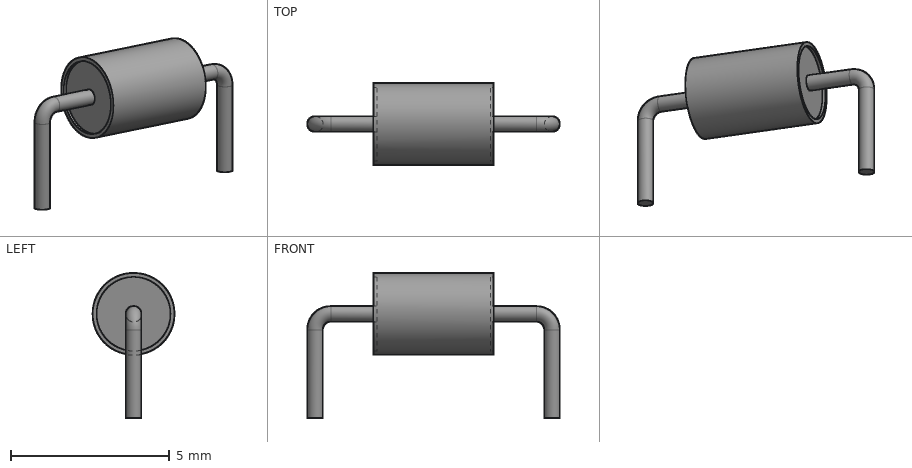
import cadquery as cq

body_length = 3.8
body_diameter = 2.6
recess_diameter = 2.34
recess_depth = 0.1

lead_diameter = 0.5
lead_pitch = 7.5
bend_radius = 0.5
lead_drop = 3.3


def make_body():
    """Cylinder with a shallow round recess in each end face."""
    left_end = cq.Workplane("YZ", origin=(-body_length / 2, 0, 0))
    body = left_end.circle(body_diameter / 2).extrude(body_length)
    for end in (">X", "<X"):
        end_plane = body.faces(end).workplane(centerOption="CenterOfMass")
        body = end_plane.circle(recess_diameter / 2).cutBlind(-recess_depth)
    return body


def make_lead_wire():
    """One wire running through the body and bent down at both ends."""
    half_pitch = lead_pitch / 2
    straight_end = half_pitch - bend_radius
    path = (
        cq.Workplane("XZ")
        .moveTo(-half_pitch, -lead_drop)
        .lineTo(-half_pitch, -bend_radius)
        .radiusArc((-straight_end, 0), bend_radius)
        .lineTo(straight_end, 0)
        .radiusArc((half_pitch, -bend_radius), bend_radius)
        .lineTo(half_pitch, -lead_drop)
    )
    tip = cq.Workplane("XY", origin=(-half_pitch, 0, -lead_drop))
    return tip.circle(lead_diameter / 2).sweep(path)


result = make_body().union(make_lead_wire())